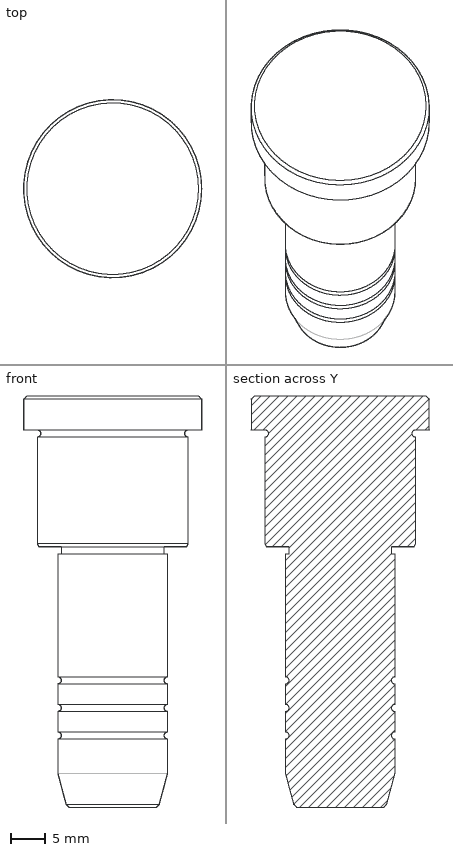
import cadquery as cq
import math

length = 60.0
head_radius = 26.0 / 2
head_height = 5.0
head_chamfer = 0.5
collar_radius = 22.0 / 2
collar_bottom = 38.0
collar_chamfer_height = 0.5
collar_chamfer_width = 0.25
shank_radius = 16.0 / 2

neck_radius = 7.5
neck_height = 1.0

groove_radius = 0.5
lowest_groove_center = 10.5
groove_pitch = 4.0
groove_count = 3

taper_start = 5.0
taper_angle = 15.0
tip_height = 0.4
tip_chamfer = 0.4

head_bottom = length - head_height
neck_bottom = collar_bottom - neck_height
taper_end_radius = shank_radius - (taper_start - tip_height) * math.tan(math.radians(taper_angle))


def make_body():
    """Revolve the stepped half outline, given as (radius, height), about Z."""
    outline = [
        (0, 0),
        (taper_end_radius - tip_chamfer, 0),
        (taper_end_radius, tip_height),
        (shank_radius, taper_start),
        (shank_radius, neck_bottom),
        (neck_radius, neck_bottom),
        (neck_radius, collar_bottom),
        (collar_radius - collar_chamfer_width, collar_bottom),
        (collar_radius, collar_bottom + collar_chamfer_height),
        (collar_radius, head_bottom),
        (head_radius, head_bottom),
        (head_radius, length - head_chamfer),
        (head_radius - head_chamfer, length),
        (0, length),
    ]
    return cq.Workplane("XZ").polyline(outline).close().revolve(360, (0, 0), (0, 1))


def make_groove_ring(surface_radius, height):
    """Ring of round section centred on a cylindrical surface."""
    section = cq.Workplane("XZ").center(surface_radius, height).circle(groove_radius)
    return section.revolve(360, (-surface_radius, 0), (-surface_radius, 1))


result = make_body()

for index in range(groove_count):
    groove_center = lowest_groove_center + index * groove_pitch
    result = result.cut(make_groove_ring(shank_radius, groove_center))

result = result.cut(make_groove_ring(collar_radius, head_bottom - groove_radius))